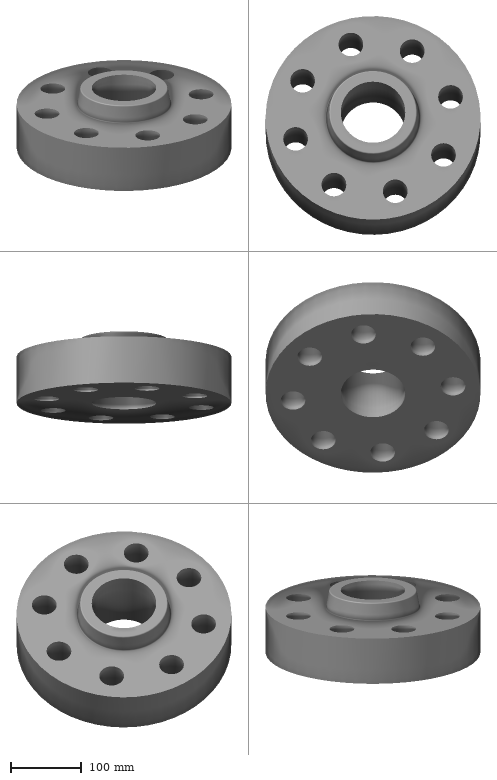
import cadquery as cq
import math

flange_diameter = 304.7
flange_thickness = 67.0

overall_height = 92.0
hub_height = overall_height - flange_thickness
hub_base_diameter = 133.0
hub_taper_angle = 10.0
hub_top_diameter = hub_base_diameter - 2 * hub_height * math.tan(math.radians(hub_taper_angle))
hub_root_fillet = 1.5
hub_rim_fillet = 1.8

bore_diameter = 91.5
bolt_count = 8
bolt_circle_diameter = 228.5
bolt_hole_diameter = 35.0


def make_body():
    """Disc and tapered hub, revolved about Z with the underside at Z = 0."""
    body = (
        cq.Workplane("XZ")
        .moveTo(0, 0)
        .lineTo(flange_diameter / 2, 0)
        .lineTo(flange_diameter / 2, flange_thickness)
        .lineTo(hub_base_diameter / 2, flange_thickness)
        .lineTo(hub_top_diameter / 2, overall_height)
        .lineTo(0, overall_height)
        .close()
        .revolve(360, (0, 0, 0), (0, 1, 0))
    )
    hub_root = cq.selectors.RadiusNthSelector(1)
    body = body.edges(hub_root).fillet(hub_root_fillet)
    return body.faces(">Z").edges().fillet(hub_rim_fillet)


def cut_bore(body):
    """Straight bore along the axis, through disc and hub."""
    return body.faces(">Z").workplane().hole(bore_diameter)


def drill_bolt_holes(body):
    """Evenly spaced through holes around the hub, the first one on +X."""
    holes = (
        cq.Workplane("XY")
        .polarArray(bolt_circle_diameter / 2, 0, 360, bolt_count)
        .circle(bolt_hole_diameter / 2)
        .extrude(flange_thickness)
    )
    return body.cut(holes)


result = drill_bolt_holes(cut_bore(make_body()))